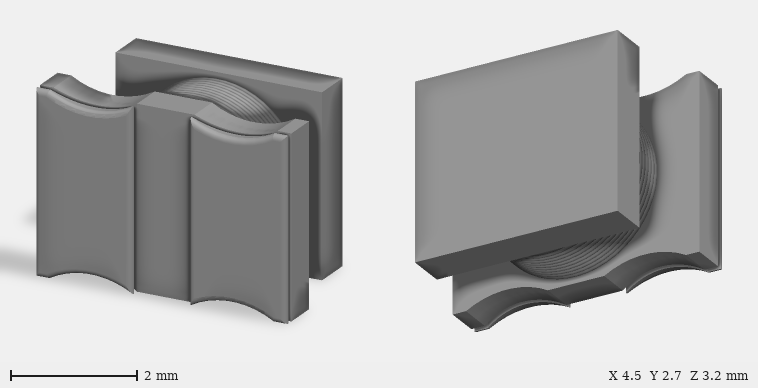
import cadquery as cq


LENGTH = 4.5
HEIGHT = 3.2

PAD_THICKNESS = 0.1
PAD_GAP = 0.1
FRONT_FLANGE_THICKNESS = 0.6
WINDING_LENGTH = 1.2
BACK_PLATE_THICKNESS = 0.7

PAD_BACK_Y = PAD_THICKNESS
FRONT_FLANGE_Y = PAD_BACK_Y + PAD_GAP
WINDING_Y = FRONT_FLANGE_Y + FRONT_FLANGE_THICKNESS
BACK_PLATE_Y = WINDING_Y + WINDING_LENGTH

BACK_PLATE_LENGTH = 3.7

PAD_INNER_X = 0.515
CORNER_LAND = 0.245
NOTCH_DEPTH = 0.2
NOTCH_OUTER_X = LENGTH / 2 - CORNER_LAND
NOTCH_CENTER_X = (PAD_INNER_X + NOTCH_OUTER_X) / 2

BULGE_DEPTH = 0.1
PAD_EDGE_RADIUS = 0.095

TURNS = 13
WINDING_RADIUS = 1.505
GROOVE_DEPTH = 0.025

SIDES = (-1, 1)


def plate(length, thickness, front_y):
    """Full-height rectangular plate centred on the coil axis."""
    return cq.Workplane("XY").box(length, thickness, HEIGHT).translate((0, front_y + thickness / 2, 0))


def bow(side, base_y):
    """Full-height bar between a chord at base_y and an arc bulging towards +Y."""
    return (
        cq.Workplane("XY", origin=(0, 0, -HEIGHT / 2))
        .moveTo(side * PAD_INNER_X, base_y)
        .threePointArc((side * NOTCH_CENTER_X, base_y + BULGE_DEPTH), (side * NOTCH_OUTER_X, base_y))
        .close()
        .extrude(HEIGHT)
    )


def edge_notch(side, end):
    """Arc-shaped cutter for the top (end = 1) or bottom (end = -1) edge of a pad and the flange."""
    edge_z = end * HEIGHT / 2
    return (
        cq.Workplane("XZ")
        .moveTo(side * PAD_INNER_X, edge_z)
        .threePointArc((side * NOTCH_CENTER_X, edge_z - end * NOTCH_DEPTH), (side * NOTCH_OUTER_X, edge_z))
        .close()
        .extrude(-WINDING_Y)
    )


def make_back_plate():
    return plate(BACK_PLATE_LENGTH, BACK_PLATE_THICKNESS, BACK_PLATE_Y)


def make_front_flange():
    flange = plate(LENGTH, FRONT_FLANGE_THICKNESS, FRONT_FLANGE_Y)
    for side in SIDES:
        flange = flange.cut(bow(side, FRONT_FLANGE_Y))
        for end in SIDES:
            flange = flange.cut(edge_notch(side, end))
    return flange


def make_winding():
    """Barrel between the plates, ridged by one shallow rounded crest per turn."""
    pitch = WINDING_LENGTH / TURNS
    groove_radius = WINDING_RADIUS - GROOVE_DEPTH
    profile = cq.Workplane("XY").moveTo(0, WINDING_Y).lineTo(groove_radius, WINDING_Y)
    for turn in range(TURNS):
        start_y = WINDING_Y + turn * pitch
        crest = (WINDING_RADIUS, start_y + pitch / 2)
        next_groove = (groove_radius, start_y + pitch)
        profile = profile.threePointArc(crest, next_groove)
    profile = profile.lineTo(0, BACK_PLATE_Y).close()
    return profile.revolve(360, (0, 0, 0), (0, 1, 0))


def make_pad(side):
    """Notched pad with a rounded front rim and a bulged back."""
    width = LENGTH / 2 - PAD_INNER_X
    center_x = side * (PAD_INNER_X + width / 2)
    pad = plate(width, PAD_THICKNESS, 0).translate((center_x, 0, 0))
    bulge = bow(side, PAD_BACK_Y)
    for end in SIDES:
        notch = edge_notch(side, end)
        pad = pad.cut(notch)
        bulge = bulge.cut(notch)
    pad = pad.faces("<Y").edges().fillet(PAD_EDGE_RADIUS)
    return pad.union(bulge)


back_plate = make_back_plate()
front_flange = make_front_flange()
winding = make_winding()
pads = [make_pad(side) for side in SIDES]

bodies = [back_plate, front_flange, winding, *pads]
result = cq.Compound.makeCompound([body.solids().val() for body in bodies])